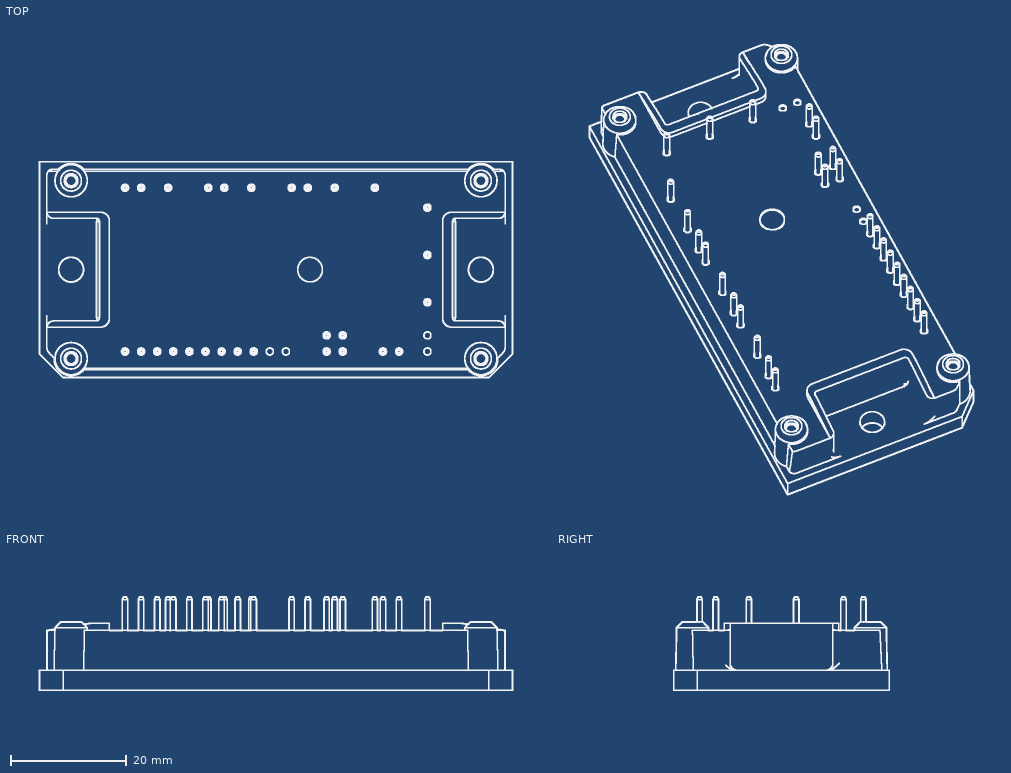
import cadquery as cq
import math

length = 82.0
width = 37.4
base_height = 3.5
base_chamfer = 4.1
mount_hole_x = 35.5
mount_hole_diameter = 4.3

housing_inset = 1.3
housing_top = 10.4
long_side_lean = 0.3
back_corner_radius = 1.0
front_corner_radius = 1.3

well_back_x = 30.6
well_half_width = 8.9
well_mouth_radius = 1.11
well_inner_radius = 0.6
well_floor_radius = 1.19
slit_width = 0.5

rim_top = 11.685
rim_back_width = 1.7
rim_side_width = 1.1
rim_corner_radius = 1.55
ramp_start_x = 32.1
ramp_knee_radius = 2.5

boss_x = mount_hole_x
boss_y = 15.4
boss_top = 11.9
boss_shoulder = 10.9
boss_foot_radius = 2.95
boss_radius = 2.8
boss_top_radius = 1.8
screw_hole_diameter = 2.4
screw_hole_depth = 0.8
pilot_hole_diameter = 1.8
pilot_hole_depth = 4.9

recess_x = 5.9
recess_diameter = 4.3
recess_depth = 0.25

pin_top = 16.2
pin_diameter = 1.0
pin_tip_chamfer = 0.25
pin_tip_height = 0.5
socket_diameter = 1.2
socket_depth = 0.3
pin_pitch = 2.8
outer_row_y = 14.2
inner_row_y = -11.4
row_start_x = -26.15
third_pin_offset = 7.5
group_pitch = 14.4
full_groups = 3
front_run_pins = 9
front_empty_sockets = 2
pair_starts = (8.8, 18.5)
side_column_x = 26.2
side_column_top_y = 10.75
side_pitch = 8.2
side_column_pins = 3

half_length = length / 2
half_width = width / 2
housing_half_length = half_length - housing_inset
housing_half_width = half_width - housing_inset


def both_ends(left_solid):
    """Return the solid together with its mirror image at the other end."""
    return left_solid.union(left_solid.mirror("YZ"))


def front_chamfered_outline(half_x, half_y, chamfer):
    return cq.Workplane("XY").polyline([
        (-half_x, half_y),
        (half_x, half_y),
        (half_x, chamfer - half_y),
        (half_x - chamfer, -half_y),
        (chamfer - half_x, -half_y),
        (-half_x, chamfer - half_y),
    ]).close()


def make_base():
    plate = front_chamfered_outline(half_length, half_width, base_chamfer).extrude(base_height)
    slits = (
        cq.Workplane("XY")
        .pushPoints([(side * (well_back_x + slit_width / 2), 0) for side in (-1, 1)])
        .rect(slit_width, 2 * (well_half_width - well_inner_radius))
        .extrude(base_height)
    )
    holes = (
        cq.Workplane("XY")
        .pushPoints([(-mount_hole_x, 0), (mount_hole_x, 0)])
        .circle(mount_hole_diameter / 2)
        .extrude(base_height)
    )
    return plate.cut(slits).cut(holes)


def make_housing():
    chamfer = base_chamfer - housing_inset * (2 - math.sqrt(2))
    block = (
        front_chamfered_outline(housing_half_length, housing_half_width, chamfer)
        .extrude(housing_top - base_height)
        .translate((0, 0, base_height))
    )
    block = block.edges("|Z and >Y").fillet(back_corner_radius)
    block = block.edges("|Z and (not >Y)").edges("<Y or <X or >X").fillet(front_corner_radius)
    top_half_width = housing_half_width - long_side_lean
    drafted_section = (
        cq.Workplane("YZ")
        .polyline([
            (-housing_half_width, base_height),
            (housing_half_width, base_height),
            (top_half_width, housing_top),
            (-top_half_width, housing_top),
        ])
        .close()
        .extrude(housing_half_length, both=True)
    )
    return block.intersect(drafted_section)


def make_rims():
    outer_half_width = well_half_width + rim_side_width
    back_x = rim_back_width - well_back_x
    ramp = (
        cq.Workplane("XZ")
        .polyline([
            (-housing_half_length, base_height),
            (-housing_half_length, housing_top),
            (-ramp_start_x, rim_top),
            (back_x, rim_top),
            (back_x, base_height),
        ])
        .close()
        .extrude(outer_half_width, both=True)
    )
    knee = cq.selectors.NearestToPointSelector((-ramp_start_x, 0, rim_top))
    ramp = ramp.edges(knee).fillet(ramp_knee_radius)
    return both_ends(ramp.edges("|Z and >X").fillet(rim_corner_radius))


def make_well_cutters():
    """Well plan: square back corners eased, mouth corners rounded outwards."""
    mouth_x = -housing_half_length
    mouth_y = well_half_width + well_mouth_radius
    wall_start_x = mouth_x + well_mouth_radius
    back_x = -well_back_x
    back_y = well_half_width - well_inner_radius
    left = (
        cq.Workplane("XY", origin=(0, 0, base_height))
        .moveTo(-half_length, -mouth_y)
        .lineTo(mouth_x, -mouth_y)
        .radiusArc((wall_start_x, -well_half_width), well_mouth_radius)
        .lineTo(back_x - well_inner_radius, -well_half_width)
        .radiusArc((back_x, -back_y), -well_inner_radius)
        .lineTo(back_x, back_y)
        .radiusArc((back_x - well_inner_radius, well_half_width), -well_inner_radius)
        .lineTo(wall_start_x, well_half_width)
        .radiusArc((mouth_x, mouth_y), well_mouth_radius)
        .lineTo(-half_length, mouth_y)
        .close()
        .extrude(rim_top)
    )
    return both_ends(left)


def make_well_floor_fillets():
    """Concave fillets along the side walls that sweep around the mouth corners."""
    corner_x = well_mouth_radius - housing_half_length
    corner_y = well_half_width + well_mouth_radius
    straight_end_x = -well_back_x - slit_width

    def profile():
        return (
            cq.Workplane("YZ", origin=(corner_x, 0, base_height))
            .moveTo(well_half_width, 0)
            .lineTo(well_half_width - well_floor_radius, 0)
            .radiusArc((well_half_width, well_floor_radius), -well_floor_radius)
            .close()
        )

    straight = profile().extrude(straight_end_x - corner_x)
    around = profile().revolve(90, (corner_y, 0), (corner_y, -1))
    inside_housing = cq.Workplane("XY").box(2 * housing_half_length, width, 2 * housing_top)
    side_strip = straight.union(around.intersect(inside_housing))
    return both_ends(side_strip.union(side_strip.mirror("XZ")))


def at_bosses(solid):
    placed = [
        solid.translate((x_side * boss_x, y_side * boss_y, 0))
        for x_side in (-1, 1)
        for y_side in (-1, 1)
    ]
    return cq.Workplane("XY").newObject([item.val() for item in placed])


def make_boss():
    return (
        cq.Workplane("XZ")
        .polyline([
            (0, base_height),
            (boss_foot_radius, base_height),
            (boss_radius, boss_shoulder),
            (boss_top_radius, boss_top),
            (0, boss_top),
        ])
        .close()
        .revolve(360, (0, 0), (0, 1))
    )


def hole_down(diameter, top, depth):
    return cq.Workplane("XY", origin=(0, 0, top - depth)).circle(diameter / 2).extrude(depth)


def make_boss_hole():
    screw_hole = hole_down(screw_hole_diameter, boss_top, screw_hole_depth)
    pilot_hole = hole_down(pilot_hole_diameter, boss_top, pilot_hole_depth)
    return screw_hole.union(pilot_hole)


def pin_positions():
    group_offsets = (0, pin_pitch, third_pin_offset)
    back = [
        row_start_x + group * group_pitch + offset
        for group in range(full_groups)
        for offset in group_offsets
    ]
    back.append(row_start_x + full_groups * group_pitch)
    front = [row_start_x + index * pin_pitch for index in range(front_run_pins)]
    front += [start + offset for start in pair_starts for offset in (0, pin_pitch)]
    points = [(x, outer_row_y) for x in back]
    points += [(x, -outer_row_y) for x in front]
    points += [(pair_starts[0] + offset, inner_row_y) for offset in (0, pin_pitch)]
    points += [(side_column_x, side_column_top_y - index * side_pitch) for index in range(side_column_pins)]
    return points


def empty_socket_positions():
    row_indices = range(front_run_pins, front_run_pins + front_empty_sockets)
    row = [(row_start_x + index * pin_pitch, -outer_row_y) for index in row_indices]
    return row + [(side_column_x, -outer_row_y), (side_column_x, inner_row_y)]


def make_sockets():
    return (
        cq.Workplane("XY", origin=(0, 0, housing_top - socket_depth))
        .pushPoints(pin_positions() + empty_socket_positions())
        .circle(socket_diameter / 2)
        .extrude(socket_depth)
    )


def make_pins():
    return (
        cq.Workplane("XY", origin=(0, 0, housing_top - socket_depth))
        .pushPoints(pin_positions())
        .circle(pin_diameter / 2)
        .extrude(pin_top - housing_top + socket_depth)
        .faces(">Z")
        .chamfer(pin_tip_height, pin_tip_chamfer)
    )


def make_recess():
    return hole_down(recess_diameter, housing_top, recess_depth).translate((recess_x, 0, 0))


body = make_housing().union(make_rims()).cut(make_well_cutters())
for boss in at_bosses(make_boss()).vals():
    body = body.union(cq.Workplane(boss))
result = make_base().union(body).union(make_well_floor_fillets())
for boss_hole in at_bosses(make_boss_hole()).vals():
    result = result.cut(cq.Workplane(boss_hole))
result = result.cut(make_recess()).cut(make_sockets()).union(make_pins())